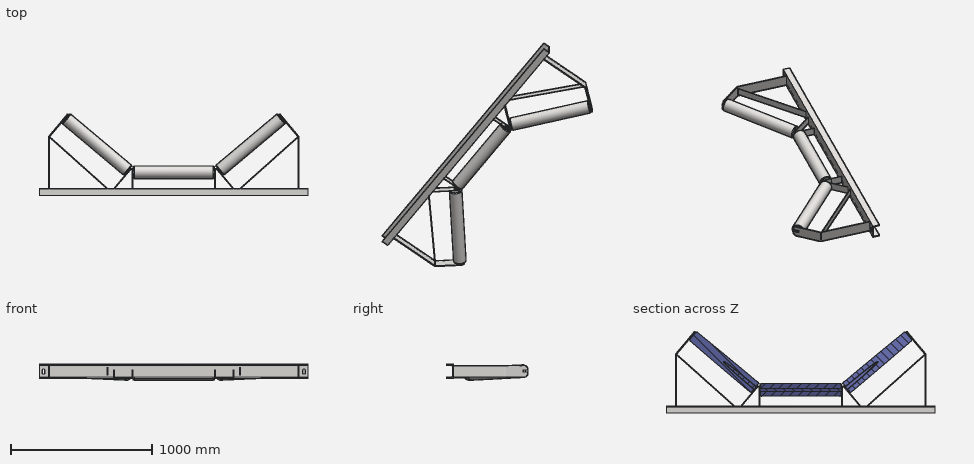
import cadquery as cq
import math


BEAM_LENGTH = 1900
BEAM_HEIGHT = 100.0
BEAM_DEPTH = 50.0
WEB_THICKNESS = 6.0
FLANGE_THICKNESS = 8.5
BEAM_ROOT_RADIUS = 8.5
MID_HEIGHT = BEAM_HEIGHT / 2

HOLE_WIDTH = 17.0
HOLE_HEIGHT = 35.0
HOLE_BOTTOM = 32.0
HOLE_FROM_END = 28.0

ROLLER_DIAMETER = 91.0
ROLLER_LENGTH = 574.0
RIM_LENGTH = 8.0
RIM_DROP = 4.0
SHAFT_DIAMETER = 19.0
SHAFT_FLATS = 14.2
TROUGH_ANGLE = 40
FORWARD_TILT = 2.0
ROLLER_BELOW_BEAM = 13.7
CENTRE_ROLLER_Y = 165.0
CENTRE_ROLLER_Z = ROLLER_DIAMETER / 2 - ROLLER_BELOW_BEAM
WING_ROLLER_X = 543.0
WING_ROLLER_Y = 363.0
WING_ROLLER_Z = 42.0

POST_THICKNESS = 8.0
POST_WIDTH = 82.0
POST_X = 882.0
KNEE_RADIUS = 15.0
ARM_BEYOND_SHAFT = 32.0
ARM_CORNER = 19.0

STRUT_THICKNESS = 4.8
STRUT_WIDTH = 53.0
STRUT_FOOT_X = 465.0

SADDLE_THICKNESS = 4.8
SADDLE_WIDTH = 57.0
SADDLE_MID_Z = CENTRE_ROLLER_Z
SADDLE_TOP_Y = 192.0

CENTRE_SPAN = 583.0
WING_SPAN = 589.0

WING_CENTRE = (-WING_ROLLER_X, WING_ROLLER_Y)
PLATE_ANGLE = 90 - TROUGH_ANGLE
WELD_Y = BEAM_DEPTH - WEB_THICKNESS / 2


def along(point, angle, distance):
    """Point reached from another one in plan, at an angle in degrees from +X."""
    turn = math.radians(angle)
    return (point[0] + distance * math.cos(turn), point[1] + distance * math.sin(turn))


def left_normal(start, end):
    """Unit vector in plan that points to the left of the way from start to end."""
    dx = end[0] - start[0]
    dy = end[1] - start[1]
    length = math.hypot(dx, dy)
    return (-dy / length, dx / length)


def folded_plate(points, thickness, width, mid_z):
    """Flat bar on edge that follows a centre line in plan, with mitred folds."""
    normals = [left_normal(start, end) for start, end in zip(points, points[1:])]
    before = [normals[0], *normals]
    after = [*normals, normals[-1]]
    left = []
    right = []
    for (x, y), (ax, ay), (bx, by) in zip(points, before, after):
        reach = thickness / 2 / (1 + ax * bx + ay * by)
        left.append((x + reach * (ax + bx), y + reach * (ay + by)))
        right.append((x - reach * (ax + bx), y - reach * (ay + by)))
    outline = cq.Workplane("XY", origin=(0, 0, mid_z)).polyline(left + right[::-1]).close()
    return outline.extrude(width / 2, both=True)


def edges_near(point, reach):
    """Selector for the edges centred within a reach of a plan point."""
    x, y = point
    low = (x - reach, y - reach, 0)
    high = (x + reach, y + reach, BEAM_HEIGHT)
    return cq.selectors.BoxSelector(low, high)


def place_centre(body):
    """Move a body from the roller axis frame (axis along X) to the centre station."""
    return body.translate((0, CENTRE_ROLLER_Y, CENTRE_ROLLER_Z))


def place_left(body):
    """Move a body from the roller axis frame to the left station, inner end lower."""
    return (
        body.rotate((0, 0, 0), (0, 1, 0), FORWARD_TILT)
        .rotate((0, 0, 0), (0, 0, 1), -TROUGH_ANGLE)
        .translate((-WING_ROLLER_X, WING_ROLLER_Y, WING_ROLLER_Z))
    )


def place_right(body):
    """Mirror image of the left station."""
    return place_left(body).mirror("YZ")


STATIONS = (
    (place_left, WING_SPAN),
    (place_centre, CENTRE_SPAN),
    (place_right, WING_SPAN),
)


def rod(diameter, length):
    """Cylinder along X, centred on the origin."""
    return cq.Workplane("YZ", origin=(-length / 2, 0, 0)).circle(diameter / 2).extrude(length)


def make_shaft(span):
    """Round shaft with two flats at each end, flush with the outside of the saddle plates."""
    length = span + SADDLE_THICKNESS
    flat_ends = cq.Workplane("XY").box(length, SHAFT_DIAMETER, SHAFT_FLATS)
    return rod(SHAFT_DIAMETER, length).intersect(flat_ends).union(rod(SHAFT_DIAMETER, ROLLER_LENGTH))


def make_roller():
    """Roller with slightly tapered rims and a bore for its shaft."""
    end_x = ROLLER_LENGTH / 2
    rim_x = end_x - RIM_LENGTH
    bore = SHAFT_DIAMETER / 2
    radius = ROLLER_DIAMETER / 2
    profile = [
        (-end_x, bore),
        (-end_x, radius - RIM_DROP),
        (-rim_x, radius),
        (rim_x, radius),
        (end_x, radius - RIM_DROP),
        (end_x, bore),
    ]
    return cq.Workplane("XY").polyline(profile).close().revolve(360, (0, 0, 0), (1, 0, 0))


def shaft_slots(span):
    """Cutters for the open slots in the two plates at a shaft's ends."""
    bottom = -SHAFT_DIAMETER / 2
    top = 2 * ARM_BEYOND_SHAFT
    return (
        cq.Workplane("XY")
        .pushPoints([(-span / 2, 0), (span / 2, 0)])
        .box(3 * POST_THICKNESS, top - bottom, SHAFT_FLATS)
        .translate((0, (top + bottom) / 2, 0))
    )


def make_beam():
    """Channel with rounded inner corners and a mounting hole near each end."""
    gap = BEAM_HEIGHT - 2 * FLANGE_THICKNESS
    gap_depth = BEAM_DEPTH - WEB_THICKNESS
    channel = cq.Workplane("XY").box(BEAM_LENGTH, BEAM_DEPTH, BEAM_HEIGHT, centered=(True, False, False))
    hollow = (
        cq.Workplane("XY", origin=(0, 0, FLANGE_THICKNESS))
        .box(BEAM_LENGTH, gap_depth, gap, centered=(True, False, False))
        .edges("|X and >Y")
        .fillet(BEAM_ROOT_RADIUS)
    )
    side_height = HOLE_HEIGHT - HOLE_WIDTH / 2
    hole = (
        cq.Workplane("XZ")
        .moveTo(-HOLE_WIDTH / 2, 0)
        .lineTo(HOLE_WIDTH / 2, 0)
        .lineTo(HOLE_WIDTH / 2, side_height)
        .threePointArc((0, HOLE_HEIGHT), (-HOLE_WIDTH / 2, side_height))
        .close()
        .extrude(-BEAM_DEPTH)
    )
    beam = channel.cut(hollow)
    for side in (-1, 1):
        beam = beam.cut(hole.translate((side * (BEAM_LENGTH / 2 - HOLE_FROM_END), 0, HOLE_BOTTOM)))
    return beam


def left_post():
    """Post bent over to stand square to the outer roller, with its bracing strut."""
    seat = along(WING_CENTRE, -TROUGH_ANGLE, -WING_SPAN / 2)
    arm_top = along(seat, PLATE_ANGLE, ARM_BEYOND_SHAFT)
    arm_below_shaft = (seat[0] + POST_X) / math.cos(math.radians(PLATE_ANGLE))
    knee = along(seat, PLATE_ANGLE, -arm_below_shaft)
    post = (
        folded_plate([(-POST_X, WELD_Y), knee, arm_top], POST_THICKNESS, POST_WIDTH, MID_HEIGHT)
        .edges("|Z")
        .edges(edges_near(knee, POST_THICKNESS))
        .fillet(KNEE_RADIUS)
        .edges(edges_near(arm_top, POST_THICKNESS / 10))
        .chamfer(ARM_CORNER)
    )
    strut = folded_plate([(-STRUT_FOOT_X, WELD_Y), knee], STRUT_THICKNESS, STRUT_WIDTH, MID_HEIGHT)
    return post.union(strut)


def left_saddle():
    """Folded plate: slanted leg for the outer roller, upright for the centre roller."""
    seat = along(WING_CENTRE, -TROUGH_ANGLE, WING_SPAN / 2)
    slope = math.sin(math.radians(PLATE_ANGLE))
    foot = along(seat, PLATE_ANGLE, (WELD_Y - seat[1]) / slope)
    ridge = along(seat, PLATE_ANGLE, (SADDLE_TOP_Y - seat[1]) / slope)
    upright_x = -CENTRE_SPAN / 2
    points = [foot, ridge, (upright_x, SADDLE_TOP_Y), (upright_x, WELD_Y)]
    return folded_plate(points, SADDLE_THICKNESS, SADDLE_WIDTH, SADDLE_MID_Z)


def make_frame():
    """Welded frame: beam, posts, struts and saddles, slotted for the shafts."""
    frame = make_beam()
    for support in (left_post(), left_saddle()):
        frame = frame.union(support).union(support.mirror("YZ"))
    for place, span in STATIONS:
        frame = frame.cut(place(shaft_slots(span)))
    return frame


frame = make_frame()
rollers = [place(make_roller()) for place, span in STATIONS]
shafts = [place(make_shaft(span)) for place, span in STATIONS]

result = cq.Compound.makeCompound([frame.val(), *[r.val() for r in rollers], *[s.val() for s in shafts]])